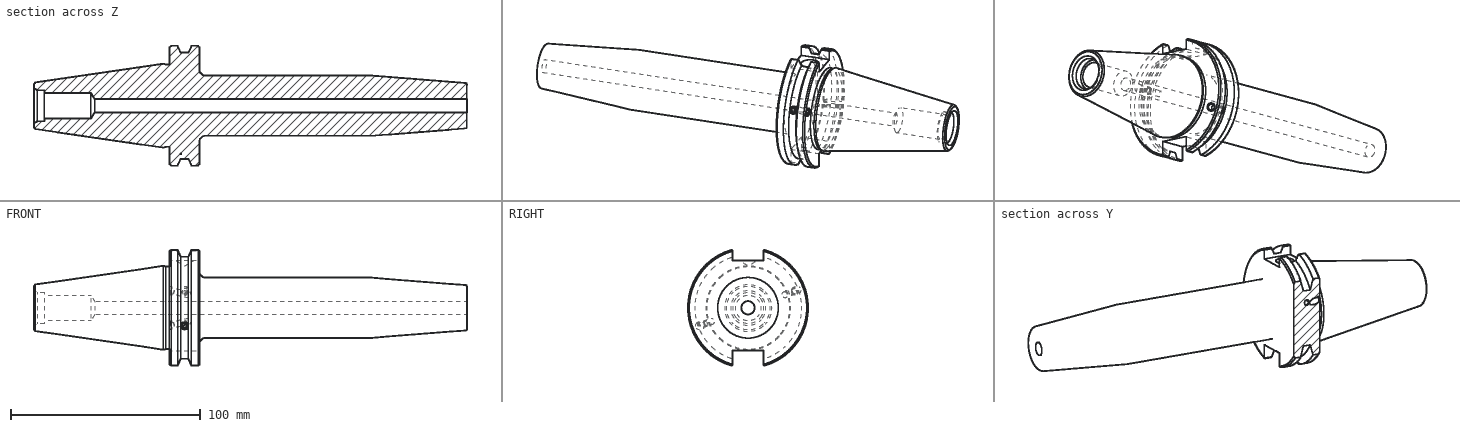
import cadquery as cq
import math


taper_length = 68.25
gauge_diameter = 44.45
taper_ratio = 7 / 24
taper_end_diameter = gauge_diameter - taper_length * taper_ratio
taper_end_chamfer = 0.8
gauge_bevel_length = 1.2
neck_diameter = 43.6

flange_diameter = 63.5
flange_start = 3.18
flange_end = 19.05
flange_chamfer = 0.8
groove_center = (flange_start + flange_end) / 2
groove_floor_diameter = 56.25
groove_floor_width = 4.0
groove_mouth_width = 7.3

shank_diameter = 32.0
shank_fillet = 3.0
nose_start = 109.5
nose_end = 160.0
nose_end_diameter = 24.0
nose_fillet = 1.0

through_diameter = 6.92
drill_tip_angle = 118.0
countersink_diameter = 18.4
countersink_depth = 1.8
counterbore_diameter = 16.3
counterbore_depth = 5.5
stud_bore_diameter = 13.39
stud_bore_depth = 30.0

slot_width = 16.1
upper_slot_height = 25.0
lower_slot_height = 22.6
slot_edge_chamfer = 0.6
dimple_diameter = 9.53

coolant_angles = (20.0, 200.0)
inlet_radius = 27.0
inlet_tilt = 33.0
inlet_diameter = 4.2
inlet_depth = 1.6
channel_diameter = 3.24
channel_depth = 12.0
plug_diameter = 4.0
plug_depth = 1.2
plug_core_diameter = 2.5


def tip_length(diameter_change):
    """Axial length of a drill-tip cone over the given change in diameter."""
    return diameter_change / 2 / math.tan(math.radians(drill_tip_angle / 2))


def revolve_about_x(profile):
    return profile.close().revolve(360, (0, 0, 0), (1, 0, 0))


def make_body():
    flange_radius = flange_diameter / 2
    floor_radius = groove_floor_diameter / 2
    shank_radius = shank_diameter / 2
    floor_half = groove_floor_width / 2
    mouth_half = groove_mouth_width / 2
    end_radius = taper_end_diameter / 2
    fillet_offset = shank_fillet * (1 - math.sqrt(0.5))
    profile = (
        cq.Workplane("XY")
        .moveTo(-taper_length, 0)
        .lineTo(-taper_length, end_radius - taper_end_chamfer)
        .lineTo(-taper_length + taper_end_chamfer, end_radius + taper_end_chamfer * taper_ratio / 2)
        .lineTo(0, gauge_diameter / 2)
        .lineTo(gauge_bevel_length, neck_diameter / 2)
        .lineTo(flange_start, neck_diameter / 2)
        .lineTo(flange_start, flange_radius - flange_chamfer)
        .lineTo(flange_start + flange_chamfer, flange_radius)
        .lineTo(groove_center - mouth_half, flange_radius)
        .lineTo(groove_center - floor_half, floor_radius)
        .lineTo(groove_center + floor_half, floor_radius)
        .lineTo(groove_center + mouth_half, flange_radius)
        .lineTo(flange_end - flange_chamfer, flange_radius)
        .lineTo(flange_end, flange_radius - flange_chamfer)
        .lineTo(flange_end, shank_radius + shank_fillet)
        .threePointArc(
            (flange_end + fillet_offset, shank_radius + fillet_offset),
            (flange_end + shank_fillet, shank_radius),
        )
        .lineTo(nose_start, shank_radius)
        .lineTo(nose_end, nose_end_diameter / 2)
        .lineTo(nose_end, 0)
    )
    return revolve_about_x(profile).faces(">X").edges().fillet(nose_fillet)


def make_bore():
    """Stepped bore: countersink, counterbore, stud bore with drill tip, through hole."""
    face = -taper_length
    stud_floor = face + stud_bore_depth
    through_start = stud_floor + tip_length(stud_bore_diameter - through_diameter)
    profile = (
        cq.Workplane("XY")
        .moveTo(face, 0)
        .lineTo(face, countersink_diameter / 2)
        .lineTo(face + countersink_depth, counterbore_diameter / 2)
        .lineTo(face + counterbore_depth, counterbore_diameter / 2)
        .lineTo(face + counterbore_depth, stud_bore_diameter / 2)
        .lineTo(stud_floor, stud_bore_diameter / 2)
        .lineTo(through_start, through_diameter / 2)
        .lineTo(nose_end, through_diameter / 2)
        .lineTo(nose_end, 0)
    )
    return revolve_about_x(profile)


def make_slot(height, side):
    """Drive slot across the flange; side is +1 for the top, -1 for the bottom."""
    slot_depth = flange_diameter / 2 - height
    width = flange_end - flange_start
    center_z = side * (height + slot_depth / 2)
    center_x = (flange_start + flange_end) / 2
    return cq.Workplane("XY").box(width, slot_width, slot_depth).translate((center_x, 0, center_z))


def make_dimple():
    """Conical drill-point dimple in the floor of the upper slot."""
    center = cq.Vector((flange_start + flange_end) / 2, 0, upper_slot_height)
    depth = tip_length(dimple_diameter)
    return cq.Workplane(cq.Solid.makeCone(dimple_diameter / 2, 0, depth, center, cq.Vector(0, 0, -1)))


def make_slot_chamfer(slot_side, wall_side):
    """V-shaped cutter along one slot wall that breaks its edge with the flange rim."""
    wall_y = slot_width / 2
    edge_z = math.sqrt((flange_diameter / 2) ** 2 - (wall_y + slot_edge_chamfer) ** 2)
    height = flange_diameter / 2 - edge_z + slot_edge_chamfer
    root_z = edge_z - slot_edge_chamfer
    corners = [
        (wall_y, root_z),
        (wall_y + height, root_z + height),
        (wall_y, root_z + height),
    ]
    placed = [(wall_side * y, slot_side * z) for y, z in corners]
    prism = cq.Workplane("YZ").polyline(placed).close().extrude(flange_end - flange_start)
    return prism.translate((flange_start, 0, 0))


def make_stepped_hole(start, direction, step_diameter, step_depth, core_diameter, depth):
    """Hole with a short wide mouth and a narrower core that ends in a drill tip."""
    mouth_start = start - direction * step_diameter
    tip_start = start + direction * depth
    mouth = cq.Solid.makeCylinder(step_diameter / 2, step_diameter + step_depth, mouth_start, direction)
    core = cq.Solid.makeCylinder(core_diameter / 2, depth, start, direction)
    tip = cq.Solid.makeCone(core_diameter / 2, 0, tip_length(core_diameter), tip_start, direction)
    return cq.Workplane(mouth.fuse(core, tip))


def make_coolant_channel(angle):
    """Oblique inlet and radial plug hole; angle is measured from +Y towards +Z."""
    tilt = math.radians(inlet_tilt)
    outward = cq.Vector(0, math.cos(math.radians(angle)), math.sin(math.radians(angle)))
    along_x = cq.Vector(1, 0, 0)

    inlet_start = along_x * flange_start + outward * inlet_radius
    inlet_direction = along_x * math.cos(tilt) - outward * math.sin(tilt)
    inlet = make_stepped_hole(
        inlet_start, inlet_direction, inlet_diameter, inlet_depth, channel_diameter, channel_depth
    )

    floor_radius = groove_floor_diameter / 2
    channel_radius = inlet_radius - (groove_center - flange_start) * math.tan(tilt)
    plug_start = along_x * groove_center + outward * floor_radius
    plug = make_stepped_hole(
        plug_start, -outward, plug_diameter, plug_depth, plug_core_diameter, floor_radius - channel_radius
    )
    return inlet.union(plug)


result = make_body().cut(make_bore())
for slot_side, floor_height in ((1, upper_slot_height), (-1, lower_slot_height)):
    result = result.cut(make_slot(floor_height, slot_side))
    for wall_side in (1, -1):
        result = result.cut(make_slot_chamfer(slot_side, wall_side))
result = result.cut(make_dimple())
for coolant_angle in coolant_angles:
    result = result.cut(make_coolant_channel(coolant_angle))